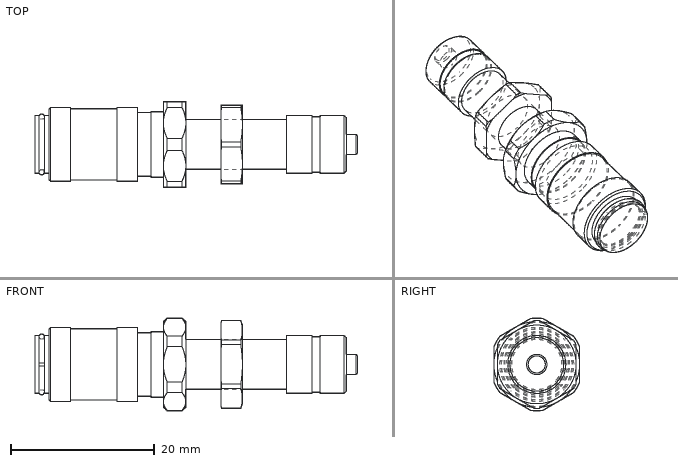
import cadquery as cq
import math


step_x = 1.95
front_band_end = 5.0
rear_band_start = 11.45
rear_band_end = 14.33
neck_end = 16.2
hex_start = 17.95
hex_end = 21.1
sleeve_start = 35.1
sleeve_groove_start = 38.7
sleeve_groove_end = 39.82
sleeve_end = 43.47
total_length = 45.05

nose_dia = 8.1
band_dia = 10.35
grip_dia = 10.0
neck_dia = 8.9
collar_dia = 9.2
shank_dia = 7.0
sleeve_dia = 8.1
sleeve_groove_dia = 7.8
pin_dia = 2.85

step_chamfer = 0.25
sleeve_chamfer = 0.3
pin_chamfer = 0.23

hex_flats = 12.0
hex_corner_dia = 12.97
hex_face_dia = 12.0
hex_chamfer = 0.55

nut_start = 25.95
nut_end = 28.95
nut_flats = 11.0
nut_corner_dia = 12.3
nut_front_face_dia = 11.7
nut_front_chamfer = 0.15
nut_rear_face_dia = 11.0
nut_rear_chamfer = 0.23

ring_x = 0.95
ring_wire_dia = 0.7
ring_outer_dia = 8.5
ring_gap = 0.4
ring_seat_dia = ring_outer_dia - 2 * ring_wire_dia


def turned(points):
    """Revolve a closed outline of (x, radius) points about the X axis."""
    return cq.Workplane("XY").polyline(points).close().revolve(360, (0, 0, 0), (1, 0, 0))


def cylinder(x_start, x_end, diameter):
    """Solid cylinder on the X axis."""
    return cq.Workplane("YZ", origin=(x_start, 0, 0)).circle(diameter / 2).extrude(x_end - x_start)


def hexagon(x_start, x_end, flats, corner_dia, front_face_dia, front_chamfer, rear_face_dia, rear_chamfer):
    """Hexagon with flats facing +Y and -Y, its corners turned to a chamfered cylinder."""
    prism = (
        cq.Workplane("YZ", origin=(x_start, 0, 0))
        .polygon(6, flats / math.cos(math.pi / 6))
        .extrude(x_end - x_start)
        .rotate((0, 0, 0), (1, 0, 0), 30)
    )
    blank = turned([
        (x_start, 0),
        (x_start, front_face_dia / 2),
        (x_start + front_chamfer, corner_dia / 2),
        (x_end - rear_chamfer, corner_dia / 2),
        (x_end, rear_face_dia / 2),
        (x_end, 0),
    ])
    return prism.intersect(blank)


def make_body():
    """Turned body with its bands, hexagon, shank, grooved sleeve, end pin and ring seat."""
    corners = [
        (0, 0),
        (0, nose_dia),
        (step_x, nose_dia),
        (step_x, band_dia - 2 * step_chamfer),
        (step_x + step_chamfer, band_dia),
        (front_band_end, band_dia),
        (front_band_end, grip_dia),
        (rear_band_start, grip_dia),
        (rear_band_start, band_dia),
        (rear_band_end, band_dia),
        (rear_band_end, neck_dia),
        (neck_end, neck_dia),
        (neck_end, collar_dia),
        (hex_start, collar_dia),
        (hex_start, shank_dia),
        (sleeve_start, shank_dia),
        (sleeve_start, sleeve_dia),
        (sleeve_groove_start, sleeve_dia),
        (sleeve_groove_start, sleeve_groove_dia),
        (sleeve_groove_end, sleeve_groove_dia),
        (sleeve_groove_end, sleeve_dia),
        (sleeve_end - sleeve_chamfer, sleeve_dia),
        (sleeve_end, sleeve_dia - 2 * sleeve_chamfer),
        (sleeve_end, pin_dia),
        (total_length - pin_chamfer, pin_dia),
        (total_length, pin_dia - 2 * pin_chamfer),
        (total_length, 0),
    ]
    spindle = turned([(x, diameter / 2) for x, diameter in corners])
    hex_collar = hexagon(
        hex_start, hex_end, hex_flats, hex_corner_dia,
        hex_face_dia, hex_chamfer, hex_face_dia, hex_chamfer,
    )
    seat_start = ring_x - ring_wire_dia / 2
    seat_end = ring_x + ring_wire_dia / 2
    ring_seat = cylinder(seat_start, seat_end, band_dia).cut(cylinder(seat_start, seat_end, ring_seat_dia))
    return spindle.union(hex_collar).cut(ring_seat)


def make_snap_ring():
    """Round-wire ring with a gap at its -Y side."""
    wire_centre_radius = (ring_outer_dia - ring_wire_dia) / 2
    ring = (
        cq.Workplane("XY")
        .center(ring_x, wire_centre_radius)
        .circle(ring_wire_dia / 2)
        .revolve(360, (0, -wire_centre_radius, 0), (1, -wire_centre_radius, 0))
    )
    gap = cq.Workplane("XY").box(2 * ring_wire_dia, ring_outer_dia, ring_gap)
    return ring.cut(gap.translate((ring_x, -ring_outer_dia / 2, 0)))


def make_lock_nut():
    """Hexagon nut bored to fit the shank."""
    nut = hexagon(
        nut_start, nut_end, nut_flats, nut_corner_dia,
        nut_front_face_dia, nut_front_chamfer, nut_rear_face_dia, nut_rear_chamfer,
    )
    return nut.cut(cylinder(nut_start, nut_end, shank_dia))


body = make_body()
snap_ring = make_snap_ring()
lock_nut = make_lock_nut()

result = cq.Compound.makeCompound([body.val(), snap_ring.val(), lock_nut.val()])